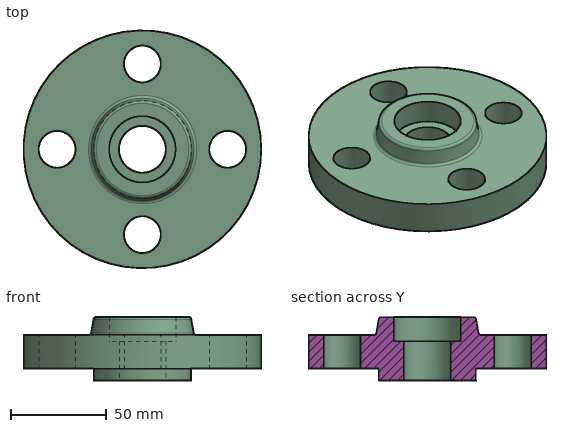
import cadquery as cq
import math

flange_diameter = 123.9
flange_thickness = 17.5

raised_face_diameter = 50.8
raised_face_height = 6.3

overall_height = 33.2
hub_height = overall_height - flange_thickness - raised_face_height
hub_base_diameter = 53.9
hub_taper_angle = 10.0
hub_rounding = 1.5
hub_top_diameter = hub_base_diameter - 2 * hub_height * math.tan(math.radians(hub_taper_angle))

bore_diameter = 24.3
socket_diameter = 34.6
socket_depth = 12.6

bolt_hole_count = 4
bolt_hole_diameter = 19.1
bolt_circle_diameter = 88.9

flange_bottom = raised_face_height
flange_top = flange_bottom + flange_thickness


def make_body():
    """Revolve the solid outline and round the hub's top edge and root."""
    body = (
        cq.Workplane("XZ")
        .moveTo(0, 0)
        .lineTo(raised_face_diameter / 2, 0)
        .lineTo(raised_face_diameter / 2, flange_bottom)
        .lineTo(flange_diameter / 2, flange_bottom)
        .lineTo(flange_diameter / 2, flange_top)
        .lineTo(hub_base_diameter / 2, flange_top)
        .lineTo(hub_top_diameter / 2, overall_height)
        .lineTo(0, overall_height)
        .close()
        .revolve(360, (0, 0, 0), (0, 1, 0))
    )
    body = body.faces(">Z").edges().fillet(hub_rounding)
    plate_top = body.faces("+Z").faces("<Z")
    return plate_top.edges(cq.selectors.RadiusNthSelector(0)).fillet(hub_rounding)


def cut_stepped_bore(body):
    """Cut the through bore and the wider socket from the hub end."""
    hub_face = body.faces(">Z").workplane(origin=(0, 0, overall_height))
    return hub_face.cboreHole(bore_diameter, socket_diameter, socket_depth)


def cut_bolt_holes(body):
    """Cut the evenly spaced bolt holes through the plate."""
    holes = (
        cq.Workplane("XY", origin=(0, 0, flange_bottom))
        .polarArray(bolt_circle_diameter / 2, 0, 360, bolt_hole_count)
        .circle(bolt_hole_diameter / 2)
        .extrude(flange_thickness)
    )
    return body.cut(holes)


result = cut_bolt_holes(cut_stepped_bore(make_body()))